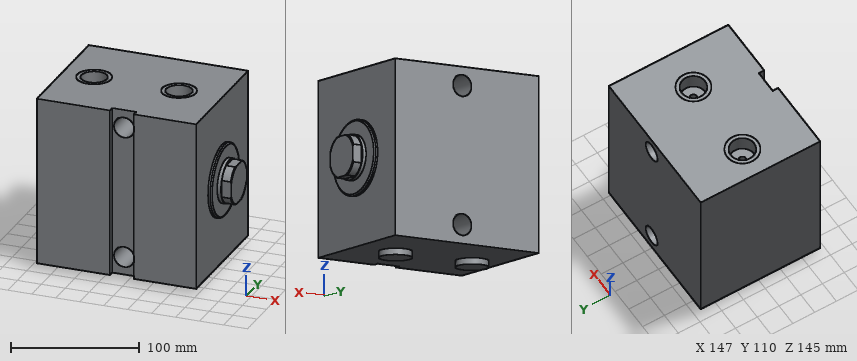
import cadquery as cq
HOUSING_X = 133.0
HOUSING_Y = 110.0
HOUSING_Z = 140.0
AXIS_Y = HOUSING_Y / 2
AXIS_Z = HOUSING_Z / 2

KEYWAY_WIDTH = 20.0
KEYWAY_DEPTH = 5.0
KEYWAY_X = 71.0
MOUNT_HOLE_DIAMETER = 17.0
MOUNT_HOLE_SPACING = 110.0

PORT_XS = (26.2, 97)
PORT_DIAMETER = 21.3
PORT_DEPTH = 14.0
SPOTFACE_DIAMETER = 28
SPOTFACE_DEPTH = 0.1
OIL_HOLE_DIAMETER = 6.0
PLUG_DIAMETER = 26.2
PLUG_HEIGHT = 5.0

ROD_DIAMETER = 36.0
ROD_START_X = 14.7
SHOULDER_PROJECTION = 6.0
TIP_PROJECTION = 14.0
TIP_DIAMETER = 35.0
TIP_ACROSS_FLATS = 32.0
TIP_CHAMFER = 0.6

GLAND_DIAMETER = 60.0
GLAND_THICKNESS = 3
GLAND_CHAMFER = 1.2


def cylinder_along_x(diameter, start_x, end_x):
    """Solid cylinder on the rod axis between two X positions."""
    plane = cq.Plane(origin=(start_x, AXIS_Y, AXIS_Z), xDir=(0, 0, 1), normal=(1, 0, 0))
    return cq.Workplane(plane).circle(diameter / 2).extrude(end_x - start_x)


def cylinder_down(diameter, x, top_z, depth):
    """Solid cylinder reaching down from top_z, centred across the housing."""
    return cq.Workplane(origin=(x, AXIS_Y, top_z)).circle(diameter / 2).extrude(-depth)


def make_keyway():
    keyway = cq.Workplane(origin=(KEYWAY_X, 0, 0))
    return keyway.box(KEYWAY_WIDTH, KEYWAY_DEPTH, HOUSING_Z, centered=(True, False, False))


def make_mount_holes():
    plane = cq.Workplane("XZ", origin=(KEYWAY_X, 0, AXIS_Z))
    holes = plane.rarray(1.5, MOUNT_HOLE_SPACING, 1, 2).circle(MOUNT_HOLE_DIAMETER / 2)
    return holes.extrude(-HOUSING_Y)


def make_port(x):
    """Spotfaced blind port whose oil hole runs down into the rod bore."""
    spotface = cylinder_down(SPOTFACE_DIAMETER, x, HOUSING_Z, SPOTFACE_DEPTH)
    port = cylinder_down(PORT_DIAMETER, x, HOUSING_Z, PORT_DEPTH)
    oil_hole = cylinder_down(OIL_HOLE_DIAMETER, x, HOUSING_Z, HOUSING_Z - AXIS_Z)
    return spotface.union(port).union(oil_hole)


def make_housing():
    housing = cq.Workplane().box(HOUSING_X, HOUSING_Y, HOUSING_Z, centered=False)
    housing = housing.cut(make_keyway()).cut(make_mount_holes())
    housing = housing.cut(cylinder_along_x(ROD_DIAMETER, ROD_START_X, HOUSING_X))
    for x in PORT_XS:
        housing = housing.cut(make_port(x))
    return housing


def make_gland():
    end_x = HOUSING_X + GLAND_THICKNESS
    ring = cylinder_along_x(GLAND_DIAMETER, HOUSING_X, end_x).faces(">X").chamfer(GLAND_CHAMFER)
    return ring.cut(cylinder_along_x(ROD_DIAMETER, HOUSING_X, end_x))


def make_rod():
    """Round rod ending in a smaller tip with four wrench flats."""
    shoulder_x = HOUSING_X + SHOULDER_PROJECTION
    tip_x = HOUSING_X + TIP_PROJECTION
    shaft = cylinder_along_x(ROD_DIAMETER, ROD_START_X, shoulder_x)
    tip = cylinder_along_x(TIP_DIAMETER, shoulder_x, tip_x).faces(">X").chamfer(TIP_CHAMFER)
    square = cq.Workplane("YZ", origin=(shoulder_x, AXIS_Y, AXIS_Z))
    square = square.rect(TIP_ACROSS_FLATS, TIP_ACROSS_FLATS).extrude(tip_x - shoulder_x)
    return shaft.union(tip.intersect(square))


def make_plug(x):
    """Round plug standing out from the bottom face."""
    return cylinder_down(PLUG_DIAMETER, x, 0, PLUG_HEIGHT)


housing = make_housing()
gland = make_gland()
rod = make_rod()
plugs = [make_plug(x).val() for x in PORT_XS]

result = cq.Compound.makeCompound([housing.val(), gland.val(), rod.val(), *plugs])